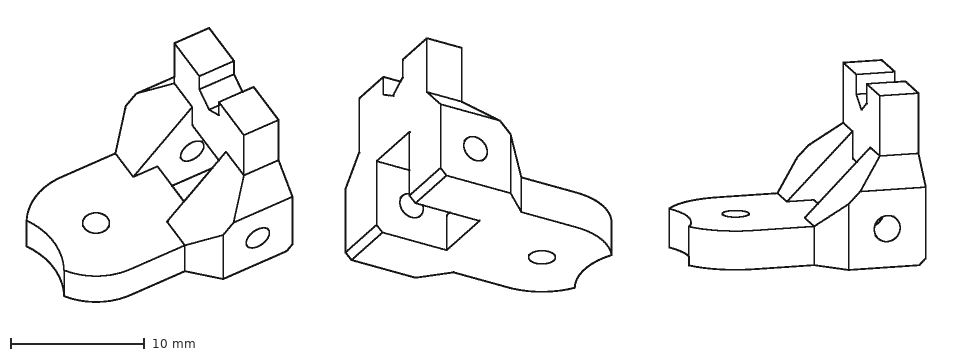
import cadquery as cq
import math

width = 14.6
length = 17.14
height = 12.74

thickness = 3.0
body_width = 10.42
ear_bevel = (width - body_width) / 2
ear_depth = 2 * thickness
ear_height = 2 * thickness
slope_top = ear_height + ear_bevel
slope_end = ear_depth + ear_bevel
heel_chamfer = 0.51

window_width = 5.05
notch_width = 2.93
notch_depth = 1.53
notch_angle = 30.0
hole_diameter = 2.0
plate_hole_distance = 12.75
round_start = 12.55
nose_sag = 0.72
cut_margin = 0.85


def side_body():
    """L-shaped side outline with a sloping gusset, extruded across the full width."""
    outline = [
        (-heel_chamfer, 0),
        (-length, 0),
        (-length, thickness),
        (-slope_end, thickness),
        (-thickness, slope_top),
        (-thickness, height),
        (0, height),
        (0, heel_chamfer),
    ]
    return cq.Workplane("YZ").polyline(outline).close().extrude(width / 2, both=True)


def front_envelope():
    """Front outline: wide ears tapering at 45 degrees to the upper wall."""
    half = width / 2
    half_body = body_width / 2
    outline = [
        (-half, 0),
        (half, 0),
        (half, ear_height),
        (half_body, slope_top),
        (half_body, height),
        (-half_body, height),
        (-half_body, slope_top),
        (-half, ear_height),
    ]
    return cq.Workplane("XZ").polyline(outline).close().extrude(length)


def plan_envelope():
    """Plan outline: bevelled ears, then a rounded plate with a concave nose."""
    half = width / 2
    half_body = body_width / 2
    radius = math.hypot(half_body, plate_hole_distance - round_start)
    tip_reach = length - plate_hole_distance
    tip_x = math.sqrt(radius**2 - tip_reach**2)
    mid_angle = math.atan2(tip_reach, tip_x) / 2
    mid_x = radius * math.cos(mid_angle)
    mid_y = -plate_hole_distance - radius * math.sin(mid_angle)
    return (
        cq.Workplane("XY")
        .moveTo(-half, 0)
        .lineTo(half, 0)
        .lineTo(half, -ear_depth)
        .lineTo(half_body, -slope_end)
        .lineTo(half_body, -round_start)
        .threePointArc((mid_x, mid_y), (tip_x, -length))
        .threePointArc((0, -length + nose_sag), (-tip_x, -length))
        .threePointArc((-mid_x, mid_y), (-half_body, -round_start))
        .lineTo(-half_body, -slope_end)
        .lineTo(-half, -ear_depth)
        .close()
        .extrude(height)
    )


def window_cut():
    """Space between the ears: open below the wall and above the plate."""
    outline = [
        (cut_margin, -cut_margin),
        (-ear_depth, -cut_margin),
        (-ear_depth, thickness),
        (-slope_end, thickness),
        (-slope_end, slope_top),
        (-thickness, slope_top),
        (-thickness, ear_height),
        (cut_margin, ear_height),
    ]
    return cq.Workplane("YZ").polyline(outline).close().extrude(window_width / 2, both=True)


def notch_cut():
    """Top notch with a V-shaped floor through the wall."""
    half = notch_width / 2
    shoulder = height - notch_depth
    bottom = shoulder - half * math.tan(math.radians(notch_angle))
    outline = [
        (-half, height),
        (-half, shoulder),
        (0, bottom),
        (half, shoulder),
        (half, height),
    ]
    return cq.Workplane("XZ").polyline(outline).close().extrude(thickness)


def pivot_hole():
    """Cross hole through both ears."""
    return (
        cq.Workplane("YZ")
        .center(-thickness, thickness)
        .circle(hole_diameter / 2)
        .extrude(width / 2, both=True)
    )


def plate_hole():
    """Vertical hole concentric with the rounded plate sides."""
    return (
        cq.Workplane("XY")
        .center(0, -plate_hole_distance)
        .circle(hole_diameter / 2)
        .extrude(thickness)
    )


result = side_body().intersect(front_envelope()).intersect(plan_envelope())
for cutter in (window_cut(), notch_cut(), pivot_hole(), plate_hole()):
    result = result.cut(cutter)